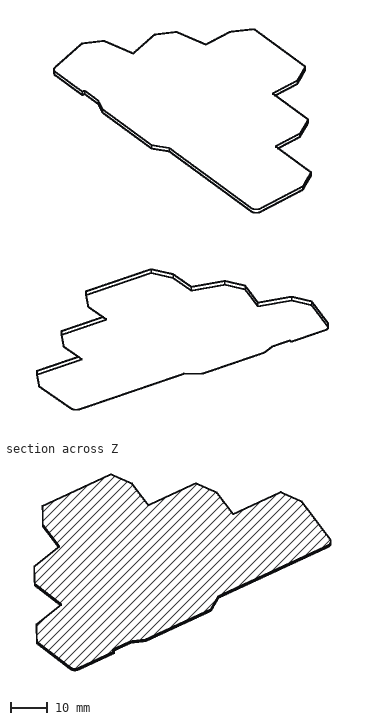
import cadquery as cq
import math

length = 87.15
width = 54.5
thickness = 1.2
corner_radius = 1.7

center_left = 22.1
center_right = 50.5
step_out = (length - center_right) / 2
step_down = 14.5
bevel_x = 3.3
bevel_y = bevel_x * math.tan(math.radians(60))

tilt = math.radians(15)
outer_tip_y = 14.5
tip_shift_x = 9.8
tip_shift_y = 17.7
tilted_bevel_x = 3.0
tilted_bevel_y = 5.3
lobe_top_length = 9.8

right_floor_y = 2.9
left_floor_y = 0.8
notch_x = 16.4
notch_y = 1.6
flat_left = 25.9
flat_right = 46.6
ramp_right = 50.7


def tilted_lobe(tip_x, tip_y):
    """Tip, bevel top and inner end of the sloping top edge."""
    bevel_top_x = tip_x + tilted_bevel_x
    bevel_top_y = tip_y + tilted_bevel_y
    return [
        (tip_x, tip_y),
        (bevel_top_x, bevel_top_y),
        (bevel_top_x + lobe_top_length * math.cos(tilt), bevel_top_y + lobe_top_length * math.sin(tilt)),
    ]


def right_bevel(side_x, top_y):
    """Beveled upper right corner of an upright lobe."""
    return [(side_x - bevel_x, top_y), (side_x, top_y - bevel_y)]


left_corner_x = (outer_tip_y - left_floor_y) * math.tan(tilt)
outline = [(left_corner_x, left_floor_y)]
outline += tilted_lobe(0, outer_tip_y)
outline += tilted_lobe(tip_shift_x, outer_tip_y + tip_shift_y)
outline += [(center_left, width - bevel_y), (center_left + bevel_x, width)]
outline += right_bevel(center_right, width)
for step in (1, 2):
    top_y = width - step * step_down
    outline.append((center_right + (step - 1) * step_out, top_y))
    outline += right_bevel(center_right + step * step_out, top_y)
outline += [
    (length, right_floor_y),
    (ramp_right, right_floor_y),
    (flat_right, 0),
    (flat_left, 0),
    (center_left, notch_y),
    (notch_x, notch_y),
    (notch_x, left_floor_y),
]

plate = cq.Workplane("XY").polyline(outline).close().extrude(thickness)

for corner in ((left_corner_x, left_floor_y), (length, right_floor_y)):
    corner_edge = cq.selectors.NearestToPointSelector((*corner, thickness / 2))
    plate = plate.edges("|Z").edges(corner_edge).fillet(corner_radius)

result = plate